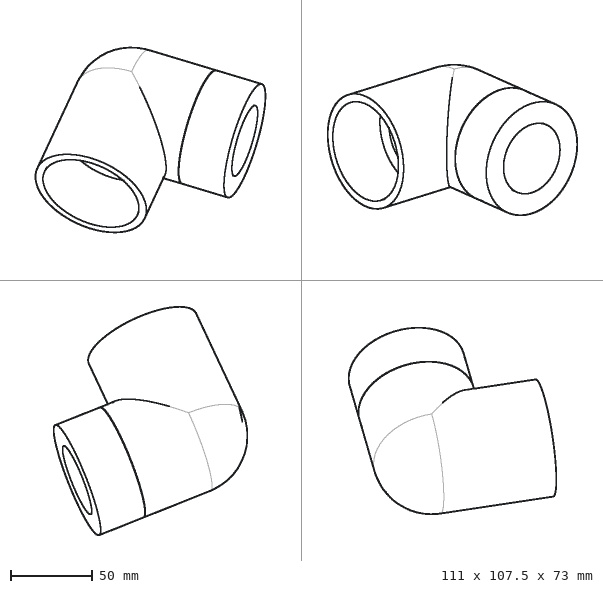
import cadquery as cq
import math

outer_diameter = 73.0
bore_diameter = 45.3
bend_radius = 13.0
socket_diameter = 63.0
overall_x = 111.0
overall_y = 107.5
socket_depth = 37.7

joint_x = 44.5
joint_width = 0.3

outer_radius = outer_diameter / 2
leg_x = overall_x - outer_radius
leg_y = overall_y - outer_radius


def rod_x(diameter, start, length):
    """Cylinder running toward +X from the given X position."""
    return cq.Workplane("YZ", origin=(start, 0, 0)).circle(diameter / 2).extrude(length)


def rod_y(diameter, start, length):
    """Cylinder running toward -Y from the given Y position."""
    return cq.Workplane("XZ", origin=(0, start, 0)).circle(diameter / 2).extrude(length)


def body():
    """Two perpendicular outer legs joined by a ball at the corner."""
    ball = cq.Workplane("XY").sphere(outer_radius)
    return ball.union(rod_x(outer_diameter, 0, leg_x)).union(rod_y(outer_diameter, 0, leg_y))


def bore():
    """Two perpendicular bores joined by a quarter-turn bend."""
    bore_radius = bore_diameter / 2
    half_chord = math.sqrt(bore_radius**2 - bend_radius**2)
    section = (
        cq.Workplane("XZ", origin=(0, -bend_radius, 0))
        .moveTo(bend_radius, -half_chord)
        .threePointArc((-bore_radius, 0), (bend_radius, half_chord))
        .close()
    )
    bend = section.revolve(90, (bend_radius, 1.1), (bend_radius, -1.1))
    leg_bore_x = rod_x(bore_diameter, bend_radius, leg_x - bend_radius)
    leg_bore_y = rod_y(bore_diameter, -bend_radius, leg_y - bend_radius)
    return bend.union(leg_bore_x).union(leg_bore_y)


def joint_groove():
    """Narrow ring around the +X leg, cut down to the socket diameter."""
    ring = rod_x(outer_diameter, joint_x, joint_width)
    core = rod_x(socket_diameter, joint_x, joint_width)
    return ring.cut(core)


result = body().cut(bore())
result = result.cut(rod_y(socket_diameter, socket_depth - leg_y, socket_depth))
result = result.cut(joint_groove())